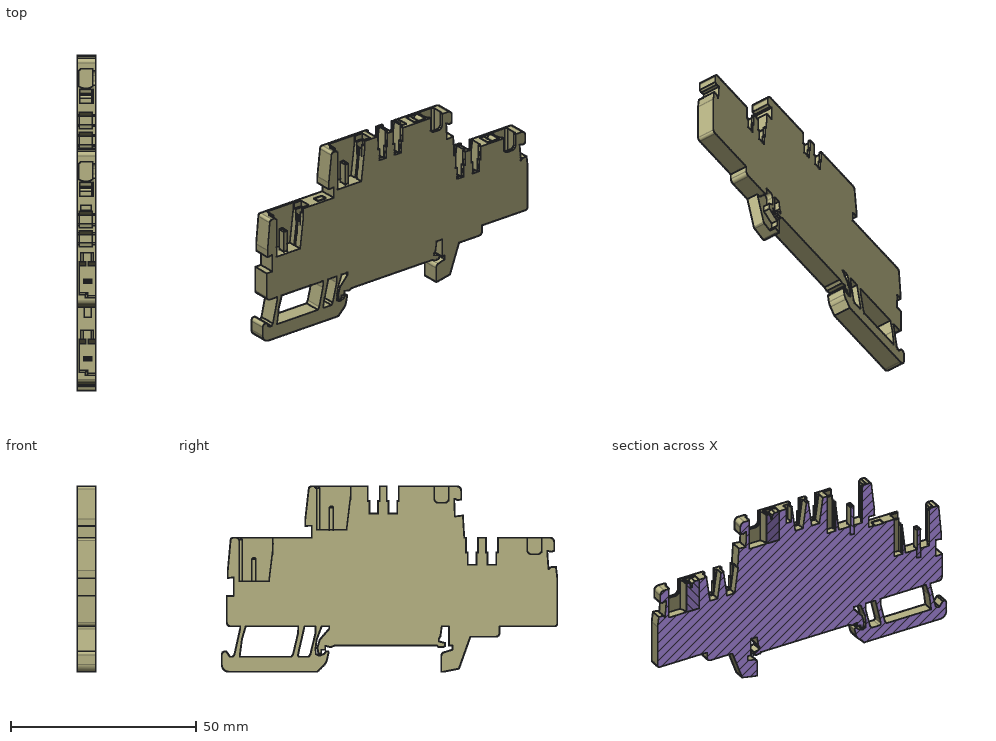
import cadquery as cq
import math


width = 5.1
half_length = 45.3
foot_top = 4.1
rail_seat = 7.1
underside = 12.2
lower_deck = 36.3
upper_deck = 50.15
tab_bottom = 9.4

deck_round = 0.8
back_round = 1.3
tip_round = 0.45
corner_round = 1.1

slot_depth = 7.3
slot_step_depth = 4.0
slot_wide = 3.2
slot_narrow = 2.3
funnel_length = 4.4
funnel_sink = 0.45
funnel_x = (0.6, 4.1)
bridge_slots = ((27.7, lower_deck), (22.3, lower_deck), (0.9, upper_deck), (-4.3, upper_deck))

entry_x = (0.45, 4.3)
entry_length = 4.7
entry_bow = 0.5
entry_chamfer = 0.5
entry_depth = 9.1
notch_offset = 0.45
notch_length = 4.0
notch_depth = 4.5
notch_round = 1.3
lever_offset = 5.5
lever_length = 3.8
lever_x = (0.7, 4.0)
lever_gap = 0.4
lever_sink = 0.1
lever_depth = 9.1
nose_flat = 0.3
nose_radius = 0.9
groove_width = 0.45
groove_depth = 1.6
ramp_length = 0.8
ramp_drop = 0.6
conductor_entries = ((41.6, lower_deck), (16.5, upper_deck))

socket_floor = 11.8
socket_x = 0.5
trough_length = 2.45
trough_x = (1.0, 4.35)
trough_ledge_depth = 1.6
channel_x = (1.6, 3.8)
taper_start_depth = 2.7
taper_length = 1.1
slit_x = (2.4, 3.0)
key_x = 2.8
key_front = 10.8
socket_front = 12.15
bevel = 0.5
pin_offset = 7.6
pin_x = (1.8, 3.9)
pin_length = 1.1
pin_height = 6.35
pin_root = 2.7
pin_taper = 0.4
plug_sockets = ((-8.1, upper_deck), (-29.0, lower_deck))

test_hole_x = (1.0, 3.8)
test_hole_y = (3.45, 4.8)
test_hole_depth = 4.5
label_recess_x = (2.0, 3.8)
label_recess_y = (-25.5, -22.8)
label_recess_depth = 0.2

web_recess = 1.8


def unit(start, end):
    """Unit direction from one point to another."""
    distance = math.dist(start, end)
    return (end[0] - start[0]) / distance, (end[1] - start[1]) / distance


def rounded_profile(corners, x_start=0.0, thickness=width):
    """Prism along X over a YZ outline. A corner is (y, z) or (y, z, radius)."""
    stretches = []
    for index, corner in enumerate(corners):
        point = corner[:2]
        if len(corner) == 2:
            stretches.append((point,))
            continue
        radius = corner[2]
        back = unit(point, corners[index - 1][:2])
        ahead = unit(point, corners[(index + 1) % len(corners)][:2])
        half_angle = math.acos(back[0] * ahead[0] + back[1] * ahead[1]) / 2
        setback = radius / math.tan(half_angle)
        sagitta = radius / math.sin(half_angle) - radius
        inward = unit((0, 0), (back[0] + ahead[0], back[1] + ahead[1]))
        stretches.append((
            (point[0] + setback * back[0], point[1] + setback * back[1]),
            (point[0] + sagitta * inward[0], point[1] + sagitta * inward[1]),
            (point[0] + setback * ahead[0], point[1] + setback * ahead[1]),
        ))
    sketch = cq.Workplane("YZ", origin=(x_start, 0, 0)).moveTo(*stretches[0][-1])
    for stretch in stretches[1:] + stretches[:1]:
        sketch = sketch.lineTo(*stretch[0])
        if len(stretch) == 3:
            sketch = sketch.threePointArc(stretch[1], stretch[2])
    return sketch.wire().extrude(thickness)


def box(x_range, y_range, z_range):
    """Box between the given limits."""
    sizes = [limits[1] - limits[0] for limits in (x_range, y_range, z_range)]
    corner = (x_range[0], y_range[0], z_range[0])
    return cq.Workplane("XY").box(*sizes, centered=False).translate(corner)



def housing_blank():
    """Outer shape, with the rail foot and the latch, over the full width."""
    lower_back = [
        (half_length, underside, deck_round),
        (half_length, 25.4),
        (45.0, 28.4),
        (43.5, 28.3),
        (43.0, 27.75),
        (42.6, 32.6),
        (43.8, 32.4),
        (44.5, 32.7),
        (44.5, lower_deck, back_round),
    ]
    tower = [
        (20.2, lower_deck),
        (19.9, 42.3),
        (17.7, 42.0),
        (17.5, 46.8),
        (18.4, 46.3),
        (19.4, 46.5),
        (19.4, 48.8),
        (19.2, upper_deck, back_round),
        (-21.8, upper_deck, deck_round),
        (-22.8, 41.35),
        (-22.8, 39.4),
        (-21.0, 39.45),
        (-21.0, lower_deck),
    ]
    lower_front = [
        (-42.9, lower_deck, deck_round),
        (-43.7, 27.4),
        (-43.7, 25.3),
        (-42.1, 25.5),
        (-42.1, 20.5),
        (-44.0, 20.5),
        (-44.0, underside, corner_round),
    ]
    foot = [
        (-40.35, underside),
        (-40.35, 11.7),
        (-41.9, 4.7),
        (-42.35, foot_top),
        (-43.1, foot_top),
        (-44.1, 5.5),
        (-half_length, 5.5, 0.9),
        (-half_length, 0.0, 2.0),
        (-19.5, 0.0),
        (-17.05, 2.45, 2.7),
        (-16.3, 5.6, tip_round),
        (-17.1, 5.6),
        (-17.6, 4.9),
        (-18.95, 4.35),
        (-19.9, 4.8),
        (-19.95, 6.3),
        (-19.7, 8.6),
        (-18.3, underside),
    ]
    rail_hooks = [
        (-16.3, underside),
        (-16.3, 11.6),
        (-18.9, 8.7),
        (-19.5, 6.5),
        (-19.2, 4.9),
        (-18.4, 5.0),
        (-18.4, 5.9),
        (-17.3, 5.9),
        (-17.3, 7.0),
        (-15.9, 6.6),
        (-14.8, rail_seat),
        (12.8, rail_seat),
        (13.15, 6.7),
        (14.4, 6.6),
        (15.05, 6.9),
        (15.05, 7.8),
        (13.3, 8.25),
        (13.3, 8.8),
        (13.8, 9.6),
        (14.15, underside),
    ]
    latch = [
        (16.05, underside),
        (16.05, rail_seat),
        (17.0, rail_seat),
        (17.0, 6.0),
        (14.0, 5.1, corner_round),
        (14.0, 0.0),
        (14.6, 0.0),
        (18.8, 0.8, tip_round),
        (21.85, tab_bottom),
        (29.7, tab_bottom, corner_round),
        (29.7, underside),
    ]
    return rounded_profile(lower_back + tower + lower_front + foot + rail_hooks + latch)


def foot_windows():
    """Two openings between the slanted legs of the foot."""
    short_window = rounded_profile([
        (-20.0, underside),
        (-22.9, underside),
        (-24.4, 5.9),
        (-24.8, foot_top, tip_round),
        (-21.85, foot_top),
        (-21.4, 4.7),
        (-20.0, 10.3),
    ])
    long_window = rounded_profile([
        (-24.7, underside),
        (-38.8, underside),
        (-39.8, 8.9),
        (-40.4, foot_top),
        (-26.5, foot_top),
        (-26.0, 4.9),
        (-24.8, 10.3),
    ])
    return short_window.union(long_window)


def latch_web_recess():
    """Sunken area between the housing tab and the spring arm of the latch."""
    return rounded_profile([
        (20.0, underside),
        (17.2, underside, corner_round),
        (17.2, 8.25),
        (18.7, 7.4),
        (18.7, 5.35),
        (15.05, 3.8),
        (15.05, 1.8),
        (15.8, 0.8),
        (15.8, -0.9),
        (21.9, -0.9),
        (21.9, tab_bottom),
        (20.0, tab_bottom, corner_round),
    ], thickness=web_recess)


def bridge_slot(y_center, deck):
    """Stepped slot across the width, with a tapered funnel between its side walls."""
    floor = deck - slot_depth
    wide = box(
        (0, width),
        (y_center - slot_wide / 2, y_center + slot_wide / 2),
        (deck - slot_step_depth, deck),
    )
    narrow = box(
        (0, width),
        (y_center - slot_narrow / 2, y_center + slot_narrow / 2),
        (floor, deck),
    )
    funnel = rounded_profile([
        (y_center - slot_narrow / 2, floor - funnel_sink),
        (y_center + slot_narrow / 2, floor - funnel_sink),
        (y_center + funnel_length / 2, deck),
        (y_center - funnel_length / 2, deck),
    ], funnel_x[0], funnel_x[1] - funnel_x[0])
    return wide.union(narrow).union(funnel)


def conductor_entry(y_back, deck):
    """Entry well with a bowed front side, and the notch in the wall beside it."""
    left, right = entry_x
    y_front = y_back - entry_length
    well = (
        cq.Workplane("XY", origin=(0, 0, deck - entry_depth))
        .moveTo(left, y_front)
        .threePointArc(((left + right) / 2, y_front - entry_bow), (right, y_front))
        .lineTo(right, y_back)
        .lineTo(left + entry_chamfer, y_back)
        .lineTo(left, y_back - entry_chamfer)
        .close()
        .extrude(entry_depth)
    )
    notch_back = y_back - notch_offset
    notch_front = notch_back - notch_length
    notch = rounded_profile([
        (notch_back, deck),
        (notch_front, deck),
        (notch_front, deck - notch_depth, notch_round),
        (notch_back, deck - notch_depth, notch_round),
    ], right, width - right)
    return well.union(notch)


def lever_well(y_back, deck):
    """Well that holds a release lever, with a gap beside the lever."""
    y_lever = y_back - lever_offset
    x_range = (lever_x[0], lever_x[1] + lever_gap)
    return box(x_range, (y_lever - lever_length, y_lever), (deck - lever_depth, deck))


def plug_socket(y_back, deck):
    """Socket open to +X, with a keyed front wall and a latching trough behind it."""
    floor = deck - socket_floor
    y_wall = y_back - trough_length
    y_floor = y_wall - taper_length
    y_key = y_back - key_front
    y_front = y_back - socket_front
    pocket = rounded_profile([
        (y_wall, deck),
        (y_wall, deck - taper_start_depth),
        (y_floor, floor),
        (y_key, floor),
        (y_key, deck - bevel),
        (y_key - bevel, deck),
    ], socket_x, width - socket_x)
    keyway = rounded_profile([
        (y_key, floor),
        (y_front + bevel, floor),
        (y_front + bevel, deck - bevel),
        (y_front, deck),
        (y_key, deck),
    ], key_x, width - key_x)
    keyway_bevel = (
        cq.Workplane("XZ", origin=(0, y_key, 0))
        .polyline([(key_x, deck - bevel), (key_x, deck), (key_x - bevel, deck)])
        .close()
        .extrude(y_key - y_front)
    )
    trough = box(trough_x, (y_wall, y_back), (deck - trough_ledge_depth, deck))
    channel = box(channel_x, (y_wall, y_back), (floor, deck))
    mouth = box(channel_x, (y_floor, y_wall), (deck - taper_start_depth, deck))
    slit = box(slit_x, (y_floor, y_wall), (floor, deck))
    socket = pocket.union(keyway)
    for opening in (keyway_bevel, trough, channel, mouth, slit):
        socket = socket.union(opening)
    return socket


def make_housing():
    """One-piece housing with every opening cut."""
    housing = housing_blank().cut(foot_windows()).cut(latch_web_recess())
    for y_center, deck in bridge_slots:
        housing = housing.cut(bridge_slot(y_center, deck))
    for y_back, deck in conductor_entries:
        housing = housing.cut(conductor_entry(y_back, deck))
        housing = housing.cut(lever_well(y_back, deck))
    for y_back, deck in plug_sockets:
        housing = housing.cut(plug_socket(y_back, deck))
        housing = housing.cut(contact_pin(y_back, deck))
    test_hole = box(test_hole_x, test_hole_y, (upper_deck - test_hole_depth, upper_deck))
    label_recess = box(label_recess_x, label_recess_y, (lower_deck - label_recess_depth, lower_deck))
    return housing.cut(test_hole).cut(label_recess)



def release_lever(y_back, deck):
    """Lever with a rounded nose, and a ramp behind a tool groove in its top."""
    y_lever = y_back - lever_offset
    y_end = y_lever - lever_length
    top = deck - lever_sink
    y_nose = y_lever - nose_flat
    y_groove = y_nose - nose_radius
    nose_center = top - nose_radius
    groove = top - groove_depth
    y_ramp = y_groove - groove_width
    diagonal = nose_radius * math.sqrt(0.5)
    return (
        cq.Workplane("YZ", origin=(lever_x[0], 0, 0))
        .moveTo(y_lever, deck - lever_depth)
        .lineTo(y_lever, top)
        .lineTo(y_nose, top)
        .threePointArc((y_nose - diagonal, nose_center + diagonal), (y_groove, nose_center))
        .lineTo(y_groove, groove)
        .lineTo(y_ramp, groove)
        .lineTo(y_ramp, top - ramp_drop)
        .lineTo(y_ramp - ramp_length, top)
        .lineTo(y_end, top)
        .lineTo(y_end, deck - lever_depth)
        .close()
        .extrude(lever_x[1] - lever_x[0])
    )



def contact_pin(y_back, deck):
    """Flat pin with a chamfered tip, rooted in the socket floor."""
    y_pin = y_back - pin_offset
    floor = deck - socket_floor
    y_range = (y_pin - pin_length / 2, y_pin + pin_length / 2)
    pin = box(pin_x, y_range, (floor - pin_root, floor + pin_height))
    return pin.faces(">Z").chamfer(pin_taper)


housing = make_housing()
levers = [release_lever(y_back, deck) for y_back, deck in conductor_entries]
pins = [contact_pin(y_back, deck) for y_back, deck in plug_sockets]

bodies = [housing, *levers, *pins]
result = cq.Compound.makeCompound([body.solids().val() for body in bodies])